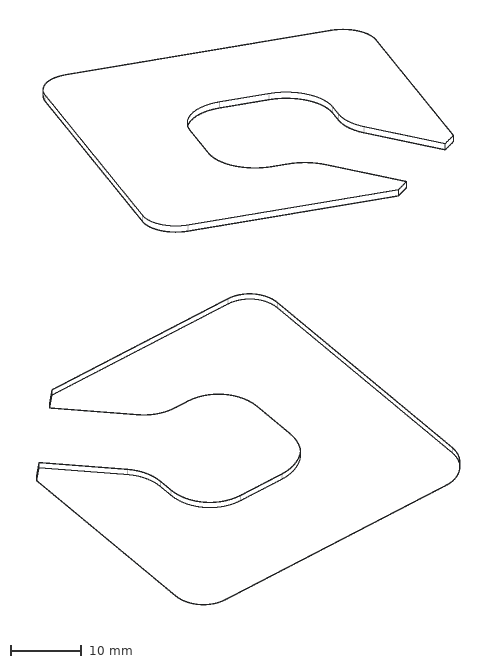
import cadquery as cq
import math

plate_size = 50.0
plate_thickness = 1.0
plate_corner_radius = 5.0

window_size = 21.5
window_shift = 1.25
window_corner_radius = 7.0

slot_width = 13.0
slot_mouth_radius = 7.0
tip_bevel = 2.0

plate_half = plate_size / 2
window_min = window_shift - window_size / 2
window_max = window_shift + window_size / 2
slot_rise = slot_width / math.sqrt(2)

mouth_inner = window_max - slot_rise

tip_outer = plate_half - tip_bevel
tip_inner = tip_outer - slot_rise
bevel_start = tip_inner - tip_bevel


def make_sharp_plate():
    """Plate with sharp corners, window and slot, symmetric about the line y = x."""
    points = [
        (-plate_half, -plate_half),
        (plate_half, -plate_half),
        (plate_half, bevel_start),
        (tip_outer, tip_inner),
        (window_max, mouth_inner),
        (window_max, window_min),
        (window_min, window_min),
        (window_min, window_max),
        (mouth_inner, window_max),
        (tip_inner, tip_outer),
        (bevel_start, plate_half),
        (-plate_half, plate_half),
    ]
    return cq.Workplane("XY").polyline(points).close().extrude(plate_thickness)


def round_corners(body, corners, radius):
    """Fillet the upright edges that stand at the given XY corners."""
    for x, y in corners:
        upright = cq.selectors.NearestToPointSelector((x, y, plate_thickness / 2))
        body = body.edges("|Z").edges(upright).fillet(radius)
    return body


plate_corners = [
    (-plate_half, -plate_half),
    (plate_half, -plate_half),
    (-plate_half, plate_half),
]
window_corners = [
    (window_min, window_min),
    (window_max, window_min),
    (window_min, window_max),
]
slot_mouths = [
    (window_max, mouth_inner),
    (mouth_inner, window_max),
]

plate = make_sharp_plate()
plate = round_corners(plate, plate_corners, plate_corner_radius)
plate = round_corners(plate, window_corners, window_corner_radius)
result = round_corners(plate, slot_mouths, slot_mouth_radius)